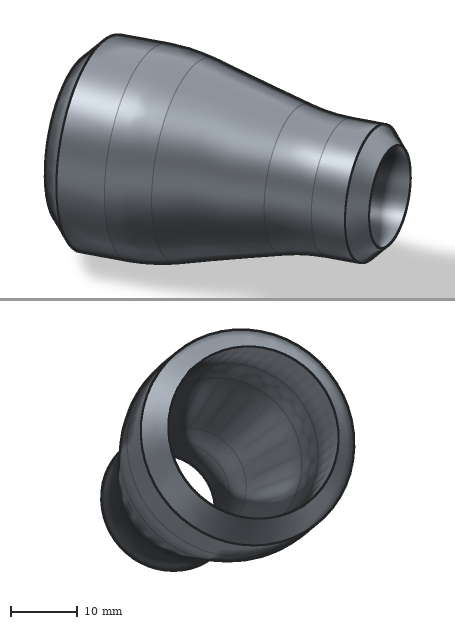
import cadquery as cq
import math

length = 51.0
large_diameter = 33.4
small_diameter = 21.3
large_wall = 3.38
small_wall = 2.77

taper_middle = 26.98
outer_taper_length = 31.4
inner_taper_length = 30.65

blend_radius = 30.0

large_radius = large_diameter / 2
small_radius = small_diameter / 2
large_bore_radius = large_radius - large_wall
small_bore_radius = small_radius - small_wall


def taper_angle(taper_length, radius_drop):
    """Cone half-angle at which the cone is tangent to both equal blend arcs."""
    centre_rise = 2 * blend_radius - radius_drop
    centre_distance = math.hypot(taper_length, centre_rise)
    centre_angle = math.atan2(taper_length, centre_rise)
    return centre_angle - math.acos(2 * blend_radius / centre_distance)


def arc_offset(angle):
    """Axial and radial distance travelled along a blend arc that starts parallel to X."""
    return blend_radius * math.sin(angle), blend_radius * (1 - math.cos(angle))


def solid_reducer(start_radius, end_radius, taper_length, start_bevel=0.0, end_bevel=0.0):
    """Solid of revolution about X with optional 45 degree bevels at its ends."""
    taper_start = taper_middle - taper_length / 2
    taper_end = taper_middle + taper_length / 2
    angle = taper_angle(taper_length, start_radius - end_radius)
    mid_x, mid_drop = arc_offset(angle / 2)
    arc_x, arc_drop = arc_offset(angle)

    profile = cq.Workplane("XZ").lineTo(0, start_radius - start_bevel)
    if start_bevel:
        profile = profile.lineTo(start_bevel, start_radius)
    profile = (
        profile.lineTo(taper_start, start_radius)
        .threePointArc(
            (taper_start + mid_x, start_radius - mid_drop),
            (taper_start + arc_x, start_radius - arc_drop),
        )
        .lineTo(taper_end - arc_x, end_radius + arc_drop)
        .threePointArc(
            (taper_end - mid_x, end_radius + mid_drop),
            (taper_end, end_radius),
        )
        .lineTo(length - end_bevel, end_radius)
    )
    if end_bevel:
        profile = profile.lineTo(length, end_radius - end_bevel)
    return profile.lineTo(length, 0).close().revolve(360, (0, 0, 0), (1, 0, 0))


body = solid_reducer(large_radius, small_radius, outer_taper_length, large_wall, small_wall)
bore = solid_reducer(large_bore_radius, small_bore_radius, inner_taper_length)

result = body.cut(bore)